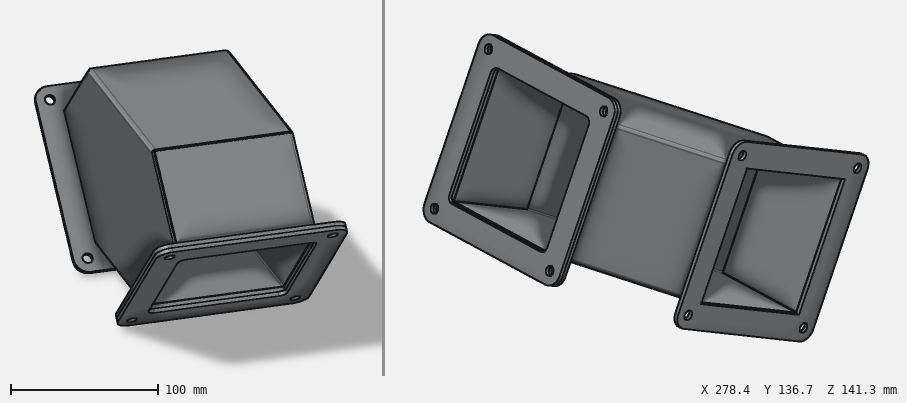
import cadquery as cq
import math

overall_length = 278.4
duct_width = 101.0
duct_height = 124.5
mouth_length = 101.3
top_length = 140.0
wall = 1.7
inner_bend_radius = 1.0
seam_gap = 0.15

plate_side = 136.7
plate_thickness = 3.0
plate_corner_radius = 10.0
opening_side = 99.0
gasket_opening_radius = 5.0
bolt_hole_diameter = 7.0
bolt_hole_inset = 10.0

slope_angle = 45
diagonal = math.sqrt(0.5)
outer_bend_radius = inner_bend_radius + wall
bolt_spacing = plate_side - 2 * bolt_hole_inset

outer_y = duct_width / 2
inner_y = outer_y - wall
inner_top_z = duct_height - wall
inner_bend_x = top_length / 2
outer_bend_x = inner_bend_x + wall * math.tan(math.radians(slope_angle / 2))

mouth_top_z = mouth_length * diagonal
mouth_top_x = outer_bend_x + duct_height - mouth_top_z
mouth_bottom_x = mouth_top_x - mouth_top_z

inner_mouth_top_x = mouth_top_x - wall * diagonal
inner_mouth_top_z = mouth_top_z - wall * diagonal
inner_mouth_bottom_x = mouth_bottom_x + wall

plate_layers = 3
plate_tip_x = (overall_length - plate_layers * plate_thickness * diagonal) / 2
plate_center_x = plate_tip_x - plate_side / 2 * diagonal
plate_center_z = plate_center_x - mouth_bottom_x


def mirrored_sheet(right_half, y_start, y_end):
    """Prism between two Y positions whose XZ outline is right_half and its mirror image."""
    left_half = [(-x, z) for x, z in reversed(right_half)]
    outline = cq.Workplane("XZ", origin=(0, y_start, 0)).polyline(right_half + left_half).close()
    return outline.extrude(y_start - y_end)


def side_wall(side):
    """Six-sided wall of the duct; side is -1 for the front and 1 for the back."""
    outline = [
        (inner_mouth_bottom_x, wall),
        (inner_mouth_top_x, inner_mouth_top_z),
        (inner_bend_x, inner_top_z),
    ]
    return mirrored_sheet(outline, side * inner_y, side * outer_y)


def bottom_sheet():
    """Flat bottom, cut along the slope of the mouths."""
    return mirrored_sheet([(mouth_bottom_x, 0), (inner_mouth_bottom_x, wall)], -outer_y, outer_y)


def top_sheet():
    """Flat top, folded from the front wall and stopping short of the back wall."""
    outline = [(inner_bend_x, inner_top_z), (inner_bend_x, duct_height)]
    return mirrored_sheet(outline, -outer_y, inner_y - seam_gap)


def slope_sheet(side):
    """Sloping sheet, folded from the back wall and stopping short of the front wall."""
    outline = [
        (side * inner_bend_x, inner_top_z),
        (side * inner_mouth_top_x, inner_mouth_top_z),
        (side * mouth_top_x, mouth_top_z),
        (side * (inner_bend_x + wall * diagonal), inner_top_z + wall * diagonal),
    ]
    width = inner_y - seam_gap + outer_y
    return cq.Workplane("XZ", origin=(0, outer_y, 0)).polyline(outline).close().extrude(width)


def edge_near(sheet, point, y):
    """Edge of the sheet nearest to an XZ point at the given Y."""
    return sheet.edges(cq.selectors.NearestToPointSelector((point[0], y, point[1])))


def round_fold(sheet, side, inner_point, outer_point):
    """Round a fold, given an XZ point on its inner and on its outer edge."""
    sheet = edge_near(sheet, inner_point, side * inner_y).fillet(inner_bend_radius)
    return edge_near(sheet, outer_point, side * outer_y).fillet(outer_bend_radius)


def make_duct():
    """One folded sheet: top, front wall, bottom, back wall and the two slopes in turn."""
    front = side_wall(-1).union(top_sheet()).union(bottom_sheet())
    front = round_fold(front, -1, (0, inner_top_z), (0, duct_height))
    front = round_fold(front, -1, (0, wall), (0, 0))

    for side in (-1, 1):
        trim = cq.Workplane("XY", origin=(side * inner_bend_x, 0, inner_top_z))
        front = front.cut(trim.rect(2 * seam_gap, 2 * duct_width).extrude(2 * wall))

    back = side_wall(1)
    inner_slope_x = (inner_bend_x + inner_mouth_top_x) / 2
    inner_slope_z = (inner_top_z + inner_mouth_top_z) / 2
    outer_slope_x = inner_slope_x + wall * diagonal
    outer_slope_z = inner_slope_z + wall * diagonal
    for side in (-1, 1):
        back = back.union(slope_sheet(side))
        back = round_fold(
            back, 1, (side * inner_slope_x, inner_slope_z), (side * outer_slope_x, outer_slope_z)
        )

    return round_fold(front.union(back), 1, (0, wall), (0, 0))


def plate_plane(side, offset):
    """Plane parallel to a mouth and offset outward from it; side is -1 for left, 1 for right."""
    step = offset * diagonal
    origin = (side * (plate_center_x + step), 0, plate_center_z - step)
    return cq.Plane(origin=origin, xDir=(0, 1, 0), normal=(side, 0, -1))


def square_slab(plane, side_length, corner_radius=0):
    """Square slab of plate thickness with optionally rounded corners."""
    slab = cq.Workplane(plane).rect(side_length, side_length).extrude(plate_thickness)
    if corner_radius > 0:
        slab = slab.edges(cq.selectors.ParallelDirSelector(plane.zDir)).fillet(corner_radius)
    return slab


def make_plate(plane, opening_radius=0):
    """Square plate with rounded corners, a square opening and four bolt holes."""
    bolt_holes = (
        cq.Workplane(plane)
        .rect(bolt_spacing, bolt_spacing, forConstruction=True)
        .vertices()
        .circle(bolt_hole_diameter / 2)
        .extrude(plate_thickness)
    )
    plate = square_slab(plane, plate_side, plate_corner_radius)
    opening = square_slab(plane, opening_side, opening_radius)
    return plate.cut(opening).cut(bolt_holes)


duct = make_duct()
flanges = [make_plate(plate_plane(side, 0)) for side in (-1, 1)]
gasket = make_plate(plate_plane(1, plate_thickness), gasket_opening_radius)

bodies = [duct, *flanges, gasket]
result = cq.Compound.makeCompound([body.solids().val() for body in bodies])